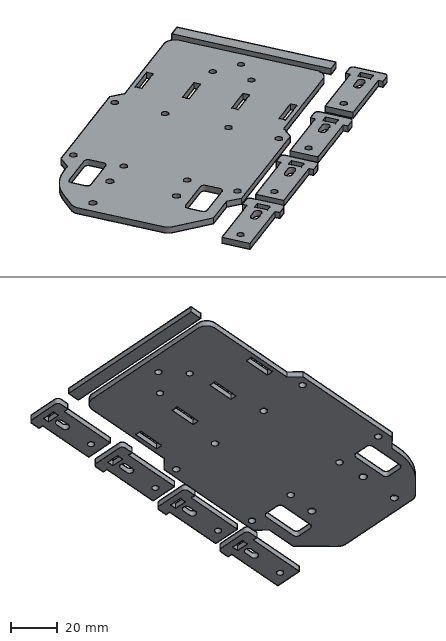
import cadquery as cq

SHEET = 3.0
TOTAL_LENGTH = 151.8
TOTAL_WIDTH = 103.5

PLATE_LENGTH = 142.2
PLATE_WIDTH = 84.0
BODY_WIDTH = 74.0
WING_REAR_Y = 88.7
WING_FRONT_Y = 34.2
WING_TAPER = 4.7
NOSE_CHAMFER = 14.9
REAR_CORNER_RADIUS = 5.0
NOSE_CORNER_RADIUS = 5.0
LEFT_CHEEK_RADIUS = 25.0

SENSOR_HOLE_DIA = 3.0
SENSOR_HOLES = [(0, 134.4), (-9.0, 124.3), (9.0, 124.3)]
MOUNT_HOLE_DIA = 3.2
MOUNT_HOLE_X = [14.7, 38.1]
MOUNT_HOLE_Y = [38.9, 85.0]
NOSE_HOLE_DIA = 3.5
NOSE_HOLE_X = 15.5
NOSE_HOLES = [(-NOSE_HOLE_X, 25.2), (NOSE_HOLE_X, 25.2), (-NOSE_HOLE_X, 6.2)]
TAB_SLOT_LENGTH = 12.8
TAB_SLOT_X = [11.4, 33.4]
TAB_SLOT_Y = 106.5
WINDOW_WIDTH = 10.0
WINDOW_LENGTH = 20.0
WINDOW_RADIUS = 1.8
WINDOW_X = 27.0
WINDOW_Y = 28.0

BAR_DEPTH = 5.9

HEAD_WIDTH = 17.5
HEAD_DEPTH = 6.0
HEAD_RADIUS = 1.8
STEM_WIDTH = 13.0
BRACKET_LENGTH = 34.2
TAB_WINDOW_WIDTH = 5.9
LONG_SLOT_WIDTH = 3.5
LONG_SLOT_LENGTH = 7.1
LONG_SLOT_OFFSET = 11.5
BRACKET_HOLE_DIA = 3.0
BRACKET_HOLE_OFFSET = 29.0
BRACKET_X = TOTAL_WIDTH - PLATE_WIDTH / 2 - HEAD_WIDTH / 2
BRACKET_REAR_Y = [151.0, 111.9, 73.6, 35.8]


def mirrored(x_places, y_places):
    """Points at plus and minus each X, for each Y."""
    return [(side * x, y) for side in (-1, 1) for x in x_places for y in y_places]


def plate_blank():
    half_plate = PLATE_WIDTH / 2
    half_body = BODY_WIDTH / 2
    half_nose = half_body - NOSE_CHAMFER
    right_side = [
        (half_nose, 0),
        (half_body, NOSE_CHAMFER),
        (half_body, WING_FRONT_Y - WING_TAPER),
        (half_plate, WING_FRONT_Y),
        (half_plate, WING_REAR_Y),
        (half_body, WING_REAR_Y + WING_TAPER),
        (half_body, PLATE_LENGTH),
    ]
    left_side = [(-x, y) for x, y in reversed(right_side)]
    blank = cq.Workplane("XY").polyline(right_side + left_side).close().extrude(SHEET)

    blank = blank.edges("|Z").edges(">Y").fillet(REAR_CORNER_RADIUS)
    blank = blank.edges("|Z").edges("<Y").fillet(NOSE_CORNER_RADIUS)
    cheek_corner = cq.selectors.NearestToPointSelector((-half_body, NOSE_CHAMFER, SHEET / 2))
    return blank.edges("|Z").edges(cheek_corner).fillet(LEFT_CHEEK_RADIUS)


def cut_holes(body, points, diameter):
    holes = cq.Workplane("XY").pushPoints(points).circle(diameter / 2).extrude(SHEET)
    return body.cut(holes)


def cut_rectangles(body, points, width, length):
    openings = cq.Workplane("XY").pushPoints(points).rect(width, length).extrude(SHEET)
    return body.cut(openings)


def make_base_plate():
    plate = plate_blank()
    plate = cut_holes(plate, SENSOR_HOLES, SENSOR_HOLE_DIA)
    plate = cut_holes(plate, mirrored(MOUNT_HOLE_X, MOUNT_HOLE_Y), MOUNT_HOLE_DIA)
    plate = cut_holes(plate, NOSE_HOLES, NOSE_HOLE_DIA)
    plate = cut_rectangles(plate, mirrored(TAB_SLOT_X, [TAB_SLOT_Y]), SHEET, TAB_SLOT_LENGTH)
    windows = (
        cq.Workplane("XY")
        .pushPoints(mirrored([WINDOW_X], [WINDOW_Y]))
        .rect(WINDOW_WIDTH, WINDOW_LENGTH)
        .extrude(SHEET)
        .edges("|Z")
        .fillet(WINDOW_RADIUS)
    )
    return plate.cut(windows)


def make_spacer_bar():
    bar_y = TOTAL_LENGTH - BAR_DEPTH / 2
    return cq.Workplane("XY").center(0, bar_y).rect(BODY_WIDTH, BAR_DEPTH).extrude(SHEET)


def make_bracket(rear_y):
    head = (
        cq.Workplane("XY")
        .center(0, -HEAD_DEPTH / 2)
        .rect(HEAD_WIDTH, HEAD_DEPTH)
        .extrude(SHEET)
        .edges("|Z")
        .edges(">Y")
        .fillet(HEAD_RADIUS)
    )
    stem_length = BRACKET_LENGTH - HEAD_DEPTH
    stem_y = -HEAD_DEPTH - stem_length / 2
    stem = cq.Workplane("XY").center(0, stem_y).rect(STEM_WIDTH, stem_length).extrude(SHEET)
    bracket = head.union(stem)

    tab_window_y = -HEAD_DEPTH + SHEET / 2
    bracket = cut_rectangles(bracket, [(0, tab_window_y)], TAB_WINDOW_WIDTH, SHEET)
    long_slot = (
        cq.Workplane("XY")
        .center(0, -LONG_SLOT_OFFSET)
        .slot2D(LONG_SLOT_LENGTH, LONG_SLOT_WIDTH, 90)
        .extrude(SHEET)
    )
    bracket = bracket.cut(long_slot)
    bracket = cut_holes(bracket, [(0, -BRACKET_HOLE_OFFSET)], BRACKET_HOLE_DIA)
    return bracket.translate((BRACKET_X, rear_y, 0))


base_plate = make_base_plate()
spacer_bar = make_spacer_bar()
brackets = [make_bracket(rear_y) for rear_y in BRACKET_REAR_Y]

result = cq.Compound.makeCompound(
    [base_plate.val(), spacer_bar.val(), *[bracket.val() for bracket in brackets]]
)